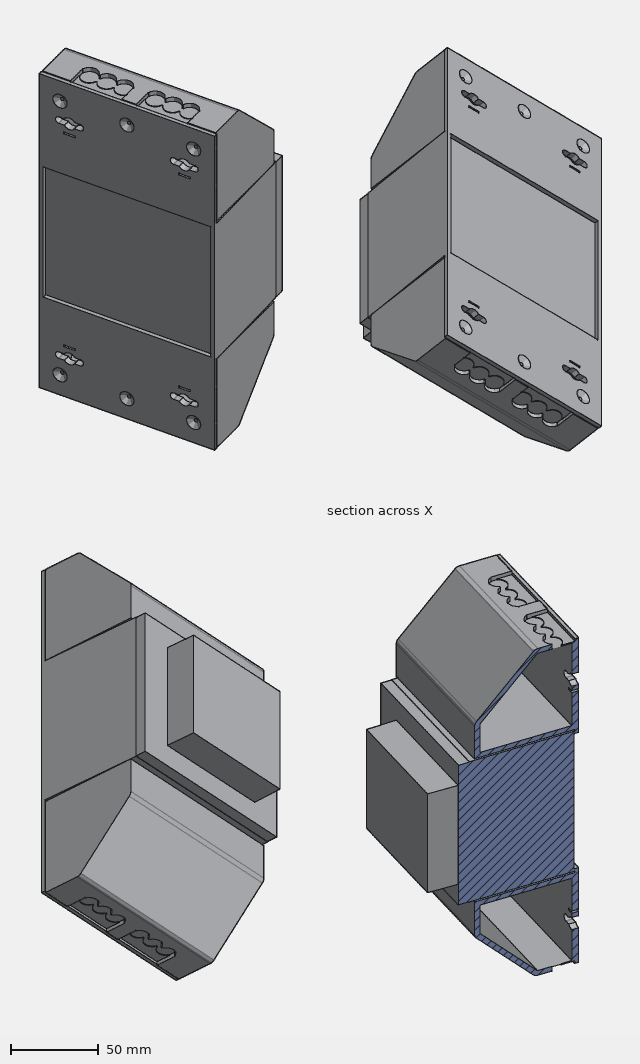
import cadquery as cq
import math

base_width = 116.7
base_length = 223.0
base_thickness = 2.5
side_draft = 1.1
panel_width = 111.3
panel_length = 92.5
panel_depth = 2.7

box_length = 96.5
box_top = 70.5
lid_width = 114.0
lid_length = 96.0
lid_top = 77.5
display_width = 75.6
display_length = 67.8
display_top = 97.0

cover_width = 115.4
cover_end = 112.2
cover_gap = 0.7
cover_start = box_length / 2 + cover_gap
cover_top = 67.0
cover_bevel = 39.0
cover_rounding = 4.0
cover_wall = 3.5
floor_thickness = 4.5

knockout_group_x = 21.88
knockout_count = 3
knockout_pitch = 11.5
knockout_radius = 5.5
knockout_height = 14.1
knockout_depth = 3.0
apron_depth = 2.5
bridge_width = 3.5

screw_x = 44.5
screw_z = 97.2
screw_mouth_radius = 4.7
screw_tip_radius = 1.1
screw_depth = 2.5
keyhole_x = 38.2
keyhole_z = 83.5
keyhole_length = 18.6
keyhole_width = 4.5
keyhole_radius = 4.0
slit_z = 75.6
slit_length = 7.6
slit_width = 1.1


def block(width, y_low, y_high, z_low, z_high):
    """Box centred on X between the given Y and Z limits."""
    size_y = y_high - y_low
    size_z = z_high - z_low
    corner = cq.Workplane("XY", origin=(0, y_low, z_low))
    return corner.box(width, size_y, size_z, centered=(True, False, False))


def drafted_block(width, length, y_low, y_high):
    """Block centred on X and Z whose X sides lean inwards by the side draft."""
    half_low = width / 2
    half_high = half_low - (y_high - y_low) * math.tan(math.radians(side_draft))
    outline = [(-half_low, y_low), (half_low, y_low), (half_high, y_high), (-half_high, y_high)]
    return cq.Workplane("XY").polyline(outline).close().extrude(length / 2, both=True)


def cover_profile(width, inset, y_low):
    """Bevelled cover shape at the +Z end, shrunk inwards by inset."""
    top = cover_top - inset
    end = cover_end - inset
    start = cover_start + inset
    bevel = cover_bevel - inset * (2 - math.sqrt(2))
    outline = [(y_low, start), (top, start), (top, end - bevel), (top - bevel, end), (y_low, end)]
    return cq.Workplane("YZ").polyline(outline).close().extrude(width / 2, both=True)


def knockout_recess(group_x):
    """Row of round knock-outs, linked by a bridge, above a shallower apron down to the base."""
    row_width = (knockout_count - 1) * knockout_pitch + 2 * knockout_radius
    bridge_low = knockout_height - bridge_width / 2
    bridge_high = knockout_height + bridge_width / 2
    recess = block(row_width, base_thickness, bridge_high, cover_end - apron_depth, cover_end)
    recess = recess.union(block(row_width, bridge_low, bridge_high, cover_end - knockout_depth, cover_end))
    for index in range(knockout_count):
        x = (index - (knockout_count - 1) / 2) * knockout_pitch
        disc = cq.Workplane("XY", origin=(x, knockout_height, cover_end - knockout_depth))
        recess = recess.union(disc.circle(knockout_radius).extrude(knockout_depth))
    return recess.translate((group_x, 0, 0))


def cover():
    """Terminal cover at the +Z end with its knock-outs, still solid inside."""
    shell = cover_profile(cover_width, 0, base_thickness)
    for corner in ((0, cover_top - cover_bevel, cover_end), (0, cover_top, cover_end - cover_bevel)):
        shell = shell.edges(cq.selectors.NearestToPointSelector(corner)).fillet(cover_rounding)
    for side in (-1, 1):
        shell = shell.cut(knockout_recess(side * knockout_group_x))
    return shell


def screw_recess(x):
    """Blind conical recess for a housing screw."""
    cone = cq.Solid.makeCone(
        screw_mouth_radius, screw_tip_radius, screw_depth,
        pnt=cq.Vector(x, 0, screw_z), dir=cq.Vector(0, 1, 0),
    )
    return cq.Workplane(cone)


def keyhole(x):
    """Double-ended keyhole and the slit beside it, through the base floor."""
    plane = cq.Workplane("XZ", origin=(x, 0, 0))
    depth = -(floor_thickness + cover_wall)
    opening = plane.center(0, keyhole_z).slot2D(keyhole_length, keyhole_width).extrude(depth)
    opening = opening.union(plane.center(0, keyhole_z).circle(keyhole_radius).extrude(depth))
    return opening.union(plane.center(0, slit_z).rect(slit_length, slit_width).extrude(depth))


def end_openings():
    """Everything removed from the base and the cover at the +Z end."""
    openings = cover_profile(cover_width - 2 * cover_wall, cover_wall, floor_thickness)
    for x in (-keyhole_x, keyhole_x):
        openings = openings.union(keyhole(x))
    for x in (-screw_x, 0, screw_x):
        openings = openings.union(screw_recess(x))
    return openings


body = drafted_block(base_width, base_length, 0, base_thickness)
body = body.union(drafted_block(base_width, box_length, 0, box_top))
body = body.union(block(lid_width, box_top, lid_top, -lid_length / 2, lid_length / 2))
body = body.union(drafted_block(display_width, display_length, lid_top, display_top))
body = body.cut(block(panel_width, 0, panel_depth, -panel_length / 2, panel_length / 2))

end_cover = cover()
openings = end_openings()
body = body.union(end_cover).union(end_cover.mirror("XY"))
result = body.cut(openings).cut(openings.mirror("XY"))